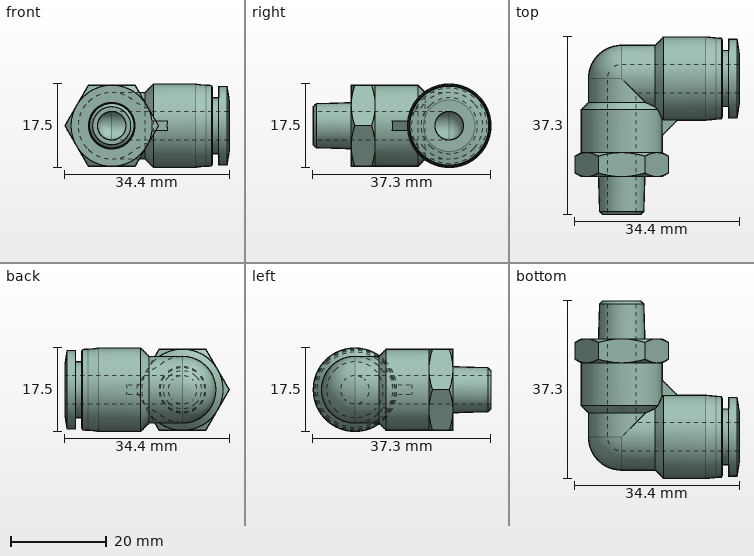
import cadquery as cq
import math


elbow_radius = 7.0
bore_radius = 2.98

port_cone_start = 7.0
port_radius = 8.75
port_cone_end = port_cone_start + (port_radius - elbow_radius)
port_taper_start = 17.55
port_band_start = 19.78
port_band_radius = 8.53
port_end = 21.12
port_rim_radius = 8.45
port_lip_start = 20.9
port_lip_radius = 7.9

neck_radius = 5.9
flange_start = 22.4
flange_radius = 8.27
flange_rim_end = 24.18
collar_end = 24.62
collar_face_radius = 5.4

overall_length = 37.25
stem_end = overall_length - port_radius
hex_across_flats = 17.0
body_radius = hex_across_flats / 2
body_cone_start = 5.03
body_cone_end = body_cone_start + (body_radius - elbow_radius)
hex_start = 15.5
hex_end = 20.52
hex_chamfer_angle = 30
stem_root_radius = 4.88
stem_tip_radius = 4.65
stem_chamfer = 0.67

rib_thickness = 2.0
rib_reach = 20.38


def revolved(profile, horizontal):
    """Solid of revolution from (distance, radius) pairs along +X or along -Y."""
    if horizontal:
        points = profile
        axis_end = (1, 0)
    else:
        points = [(radius, -distance) for distance, radius in profile]
        axis_end = (0, 1)
    return cq.Workplane("XY").polyline(points).close().revolve(360, (0, 0), axis_end)


def make_tube_port():
    return revolved(
        [
            (0, 0),
            (0, elbow_radius),
            (port_cone_start, elbow_radius),
            (port_cone_end, port_radius),
            (port_taper_start, port_radius),
            (port_band_start, port_band_radius),
            (port_lip_start, port_rim_radius),
            (port_end, port_lip_radius),
            (port_end, neck_radius),
            (flange_start, neck_radius),
            (flange_start, flange_radius),
            (flange_rim_end, flange_radius),
            (collar_end, collar_face_radius),
            (collar_end, 0),
        ],
        horizontal=True,
    )


def make_stem():
    return revolved(
        [
            (0, 0),
            (0, elbow_radius),
            (body_cone_start, elbow_radius),
            (body_cone_end, body_radius),
            (hex_end, body_radius),
            (hex_end, stem_root_radius),
            (stem_end - stem_chamfer, stem_tip_radius),
            (stem_end, stem_tip_radius - stem_chamfer),
            (stem_end, 0),
        ],
        horizontal=False,
    )


def make_hex():
    """Hexagon with corners on the X axis and both ends turned to a cone."""
    corner_radius = body_radius / math.cos(math.pi / 6)
    chamfer_height = (corner_radius - body_radius) * math.tan(math.radians(hex_chamfer_angle))
    prism = (
        cq.Workplane("XZ", origin=(0, -hex_start, 0))
        .polygon(6, 2 * corner_radius)
        .extrude(hex_end - hex_start)
    )
    envelope = revolved(
        [
            (hex_start, 0),
            (hex_start, body_radius),
            (hex_start + chamfer_height, corner_radius),
            (hex_end - chamfer_height, corner_radius),
            (hex_end, body_radius),
            (hex_end, 0),
        ],
        horizontal=False,
    )
    return prism.intersect(envelope)


def make_rib():
    """Triangular web, its 45-degree edge bridging the stem and the port."""
    corner_x = body_radius / 2
    corner_y = -port_radius / 2
    return (
        cq.Workplane("XY")
        .polyline([
            (corner_x, corner_y),
            (rib_reach + corner_y, corner_y),
            (corner_x, corner_x - rib_reach),
        ])
        .close()
        .extrude(rib_thickness / 2, both=True)
        .intersect(
            cq.Workplane("XY").box(port_taper_start, hex_start, rib_thickness)
            .translate((port_taper_start / 2, -hex_start / 2, 0))
        )
    )


def make_bore():
    """Round passage from the stem end, around the elbow and out of the port."""
    stem_bore = cq.Workplane("XZ").circle(bore_radius).extrude(stem_end)
    port_bore = cq.Workplane("YZ").circle(bore_radius).extrude(collar_end)
    return stem_bore.union(port_bore).union(cq.Workplane("XY").sphere(bore_radius))


elbow = cq.Workplane("XY").sphere(elbow_radius)
body = elbow.union(make_tube_port()).union(make_stem()).union(make_hex()).union(make_rib())
result = body.cut(make_bore())